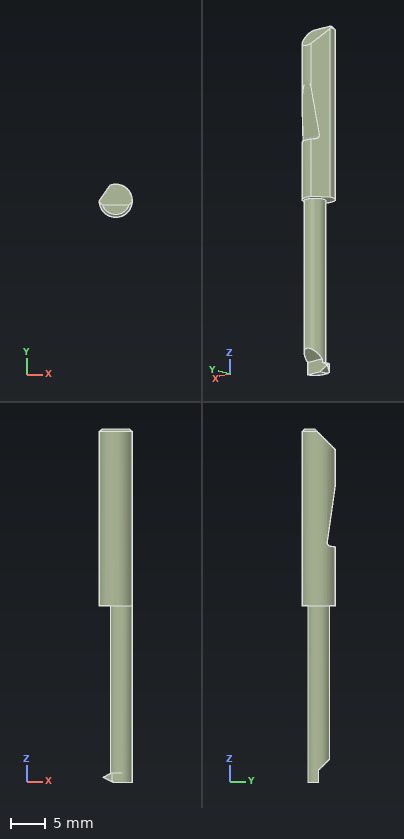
import cadquery as cq
import math

total_length = 50.8
shank_bottom = total_length / 2
shank_radius = 2.4
neck_radius = 1.6
neck_offset = shank_radius - neck_radius
top_chamfer = 0.4

flat_half_angle = 35.0
flat_distance = shank_radius * math.cos(math.radians(flat_half_angle))

bevel_edge_y = -0.6

notch_top = 42.6
notch_bottom = 34.05
notch_depth = 1.2
notch_slope = 8.5
notch_fillet = 0.5

rake_height = 1.85
tip_x = -1.85
tip_z = 0.75
tooth_height = 1.35
tooth_top_x = -0.7
tooth_bottom_x = -0.25
clearance_x = -0.5

overcut = 5.1


def along_x(points):
    """Prism with a (Y, Z) outline, spanning the part in X."""
    return cq.Workplane("YZ").polyline(points).close().extrude(overcut, both=True)


def make_shank():
    length = total_length - shank_bottom
    shank = cq.Workplane("XY").workplane(offset=shank_bottom).circle(shank_radius).extrude(length)
    return shank.faces(">Z").chamfer(top_chamfer)


def make_side_flat():
    cutter = cq.Workplane("XY").box(overcut, 2 * overcut, total_length, centered=(False, True, False))
    cutter = cutter.translate((flat_distance, 0, 0))
    return cutter.rotate((0, 0, 0), (0, 0, 1), 180 - flat_half_angle)


def make_end_bevel():
    return along_x([
        (bevel_edge_y, total_length),
        (bevel_edge_y + overcut, total_length),
        (bevel_edge_y + overcut, total_length - overcut),
    ])


def make_notch():
    """Shallow ramp ending in a wall square to it, with a rounded inner corner."""
    slope = math.tan(math.radians(notch_slope))
    floor_y = shank_radius - notch_depth
    outer_y = floor_y + overcut
    notch = along_x([
        (floor_y, notch_bottom),
        (shank_radius, notch_top),
        (outer_y, notch_top),
        (outer_y, notch_bottom - overcut * slope),
    ])
    return notch.edges("|X and <Y").fillet(notch_fillet)


def make_neck():
    neck = cq.Workplane("XY").center(neck_offset, 0).circle(neck_radius).extrude(shank_bottom)
    back_relief = along_x([
        (0, 0),
        (0, rake_height),
        (overcut, rake_height + overcut),
        (overcut, 0),
    ])
    return neck.cut(back_relief)


def make_tooth():
    """Pointed tooth profile trimmed by the clearance face behind its cutting edge."""
    profile = cq.Workplane("XZ").polyline([
        (tip_x, tip_z),
        (tooth_top_x, tooth_height),
        (neck_offset, tooth_height),
        (neck_offset, 0),
        (tooth_bottom_x, 0),
    ]).close().extrude(neck_radius)
    plan = cq.Workplane("XY").polyline([
        (tip_x, 0),
        (clearance_x, -neck_radius),
        (neck_offset, -neck_radius),
        (neck_offset, 0),
    ]).close().extrude(tooth_height)
    return profile.intersect(plan)


def make_tip_trim():
    """Removes the neck corner that would stand below the tooth's lower flank."""
    flank_slope = tip_z / (tip_x - tooth_bottom_x)
    end_z = flank_slope * (-overcut - tooth_bottom_x)
    return cq.Workplane("XZ").polyline([
        (tooth_bottom_x, 0),
        (-overcut, end_z),
        (-overcut, 0),
    ]).close().extrude(overcut, both=True)


shank = make_shank().cut(make_side_flat()).cut(make_end_bevel()).cut(make_notch())
cutting_end = make_neck().union(make_tooth()).cut(make_tip_trim())
result = shank.union(cutting_end)